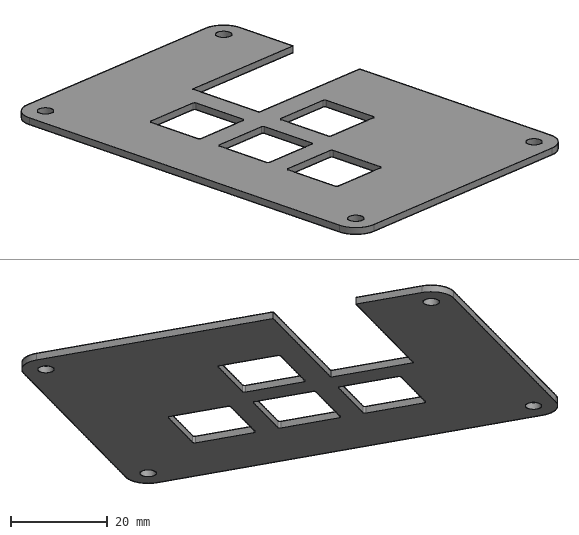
import cadquery as cq

plate_length = 96.0
plate_width = 65.0
plate_thickness = 1.5
corner_radius = 5.0

hole_diameter = 3.4
hole_spacing_x = plate_length - 2 * corner_radius
hole_spacing_y = plate_width - 2 * corner_radius

key_size = 13.9
key_corner_radius = 0.5
key_pitch = 19.0
middle_key_x = 2.8
middle_key_y = -10.6
upper_key_y = middle_key_y + key_pitch
key_centers = [
    (middle_key_x - key_pitch, middle_key_y),
    (middle_key_x, middle_key_y),
    (middle_key_x + key_pitch, middle_key_y),
    (middle_key_x, upper_key_y),
]

notch_left_x = -28.2
notch_width = 18.4
notch_floor_y = upper_key_y - key_size / 2
notch_depth = plate_width / 2 - notch_floor_y


def make_plate():
    """Flat plate with rounded corners, centred in X and Y, standing on Z = 0."""
    plate = cq.Workplane("XY").rect(plate_length, plate_width).extrude(plate_thickness)
    return plate.edges("|Z").fillet(corner_radius)


def make_mounting_holes():
    holes = cq.Workplane("XY").rect(hole_spacing_x, hole_spacing_y, forConstruction=True).vertices()
    return holes.circle(hole_diameter / 2).extrude(plate_thickness)


def make_key_openings():
    openings = cq.Workplane("XY").pushPoints(key_centers).rect(key_size, key_size).extrude(plate_thickness)
    return openings.edges("|Z").fillet(key_corner_radius)


def make_notch():
    notch = cq.Workplane("XY").box(notch_width, notch_depth, plate_thickness, centered=False)
    return notch.translate((notch_left_x, notch_floor_y, 0))


result = make_plate().cut(make_mounting_holes()).cut(make_key_openings()).cut(make_notch())